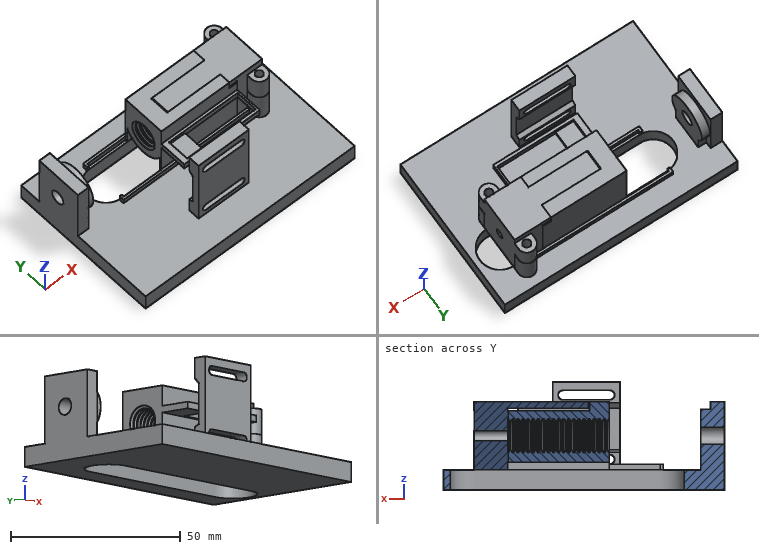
import cadquery as cq

BASE_LENGTH = 83.0
BASE_WIDTH = 55.0
BASE_THICKNESS = 6.0

AXIS_Y = 38.85
AXIS_Z = 10.1
BLOCK_TOP = 2 * AXIS_Z

BLOCK_WIDTH = 15.9
CARRIAGE_START = 34.0
CARRIAGE_END = 64.0
CAP_END = 74.0

SLOT_START = 12.0
SLOT_END = 81.0
SLOT_WIDTH = 14.3

RAIL_START = 18.1
RAIL_HEIGHT = 1.7
RAIL_THICKNESS = 0.9
RAIL_GAP = 16.1

WALL_THICKNESS = 4.2
WALL_WIDTH = 17.1
WALL_START_Y = 29.9
BOSS_DIAMETER = 15.7
BOSS_END = 7.1
FOOT_WIDTH = 11.8
WALL_HOLE_DIAMETER = 5.0

LUG_DIAMETER = 6.0
LUG_OFFSET = 9.95
LUG_SPLIT_Z = 9.9
LUG_TOP_Z = 17.6
LUG_CENTER_X = CAP_END - LUG_DIAMETER / 2
SCREW_PILOT_DIAMETER = 2.17
SCREW_CLEARANCE_DIAMETER = 2.7

PLATE_START_X = 30.8
PLATE_LENGTH = 20.0
PLATE_FRONT_Y = 10.9
PLATE_BACK_Y = 15.1
PLATE_HEIGHT = 26.0
RELIEF_DEPTH = 1.6
RELIEF_BOTTOM_Z = 5.2
RELIEF_FLOOR_BOTTOM_Z = 5.9
RELIEF_FLOOR_TOP_Z = 18.2
RELIEF_TOP_Z = RELIEF_FLOOR_TOP_Z + RELIEF_DEPTH
PLATE_SLOT_LENGTH = 16.6
PLATE_SLOT_WIDTH = 2.7
PLATE_SLOT_HEIGHTS = (3.1, 22.1)

BARREL_DIAMETER = 16.0
THREAD_MAJOR_DIAMETER = 10.0
THREAD_MINOR_DIAMETER = 8.4
THREAD_PITCH = 1.5
THREAD_ROOT_FLAT = THREAD_PITCH / 8
THREAD_CREST_FLAT = THREAD_PITCH / 4
TAB_BOTTOM_Z = 12.0
TAB_THICKNESS = 2.0
TAB_EDGE_Y = 20.8
WINDOW_START_X = 36.1
WINDOW_END_X = 63.3
WINDOW_START_Y = 21.9
WINDOW_END_Y = 29.9
LEDGE_END_X = 42.5
LEDGE_DEPTH = 1.2

TONGUE_WIDTH = 7.0
TONGUE_CENTER_Y = AXIS_Y - 0.4
TONGUE_START = 40.2
TONGUE_END_CLEARANCE = 0.3
LIP_START = 61.0
TONGUE_BOTTOM_Z = 18.15
RECESS_FLOOR_Z = 17.5
CAP_HOLE_DIAMETER = 3.0


def box(x, y, z):
    """Box that spans the three given (low, high) ranges."""
    size = (x[1] - x[0], y[1] - y[0], z[1] - z[0])
    return cq.Workplane("XY").box(*size, centered=False).translate((x[0], y[0], z[0]))


def span(center, width):
    """Range of the given width about a center."""
    return (center - width / 2, center + width / 2)


def axis_cylinder(diameter, start, end):
    """Cylinder on the common axis between two X positions."""
    plane = cq.Workplane("YZ", origin=(start, AXIS_Y, AXIS_Z))
    return plane.circle(diameter / 2).extrude(end - start)


def screw_lugs(bottom, top, hole_diameter):
    """Pair of drilled lugs, flat against the cap sides and round at the outside."""
    height = top - bottom
    cap_space = box((CARRIAGE_END, CAP_END), span(AXIS_Y, BLOCK_WIDTH), (bottom, top))
    lugs = []
    for side in (-1, 1):
        inner_y = AXIS_Y + side * BLOCK_WIDTH / 2
        center_y = AXIS_Y + side * LUG_OFFSET
        y_range = (min(inner_y, center_y), max(inner_y, center_y))
        center = cq.Workplane("XY", origin=(LUG_CENTER_X, center_y, bottom))
        lug = box(span(LUG_CENTER_X, LUG_DIAMETER), y_range, (bottom, top))
        lug = lug.union(center.circle(LUG_DIAMETER / 2).extrude(height))
        hole = center.circle(hole_diameter / 2).extrude(height)
        lugs.append(lug.cut(hole).cut(cap_space))
    return lugs


def make_end_wall():
    """Upright wall with a drilled boss that stands on a foot."""
    wall_y = (WALL_START_Y, WALL_START_Y + WALL_WIDTH)
    wall = box((0, WALL_THICKNESS), wall_y, (0, BLOCK_TOP))
    foot = box((WALL_THICKNESS, BOSS_END), span(AXIS_Y, FOOT_WIDTH), (0, AXIS_Z))
    boss = axis_cylinder(BOSS_DIAMETER, WALL_THICKNESS, BOSS_END)
    hole = axis_cylinder(WALL_HOLE_DIAMETER, 0, BOSS_END)
    return wall.union(foot).union(boss).cut(hole)


def make_rails():
    """Two low rails, open toward the slot, joined by end stops that reach the slot edge."""
    outer_width = RAIL_GAP + 2 * RAIL_THICKNESS
    rail_x = (RAIL_START, CAP_END - LUG_DIAMETER)
    channel_x = (RAIL_START + RAIL_THICKNESS, rail_x[1])
    rails = box(rail_x, span(AXIS_Y, outer_width), (0, RAIL_HEIGHT))
    rails = rails.cut(box(channel_x, span(AXIS_Y, RAIL_GAP), (0, RAIL_HEIGHT)))
    return rails.cut(box(rail_x, span(AXIS_Y, SLOT_WIDTH), (0, RAIL_HEIGHT)))


def make_upright_plate():
    """Plate with a relieved back face and two long slots."""
    relief_y = PLATE_BACK_Y - RELIEF_DEPTH
    profile = [
        (PLATE_FRONT_Y, 0),
        (PLATE_BACK_Y, 0),
        (PLATE_BACK_Y, RELIEF_BOTTOM_Z),
        (relief_y, RELIEF_FLOOR_BOTTOM_Z),
        (relief_y, RELIEF_FLOOR_TOP_Z),
        (PLATE_BACK_Y, RELIEF_TOP_Z),
        (PLATE_BACK_Y, PLATE_HEIGHT),
        (PLATE_FRONT_Y, PLATE_HEIGHT),
    ]
    start = cq.Workplane("YZ", origin=(PLATE_START_X, 0, 0))
    plate = start.polyline(profile).close().extrude(PLATE_LENGTH)
    center_x = PLATE_START_X + PLATE_LENGTH / 2
    slots = (
        cq.Workplane("XZ", origin=(0, PLATE_BACK_Y, 0))
        .pushPoints([(center_x, height) for height in PLATE_SLOT_HEIGHTS])
        .slot2D(PLATE_SLOT_LENGTH, PLATE_SLOT_WIDTH)
        .extrude(PLATE_BACK_Y - PLATE_FRONT_Y)
    )
    return plate.cut(slots)


def make_base():
    """Base plate with its slot, rails, end wall, upright plate and lower lugs."""
    base = box((0, BASE_LENGTH), (0, BASE_WIDTH), (-BASE_THICKNESS, 0))
    slot = (
        cq.Workplane("XY", origin=((SLOT_START + SLOT_END) / 2, AXIS_Y, -BASE_THICKNESS))
        .slot2D(SLOT_END - SLOT_START, SLOT_WIDTH)
        .extrude(BASE_THICKNESS)
    )
    base = base.cut(slot).union(make_rails()).union(make_end_wall()).union(make_upright_plate())
    for lug in screw_lugs(0, LUG_SPLIT_Z, SCREW_PILOT_DIAMETER):
        base = base.union(lug)
    return base


def make_threaded_bore():
    """Cutter for the carriage bore: ring grooves of trapezoid section at the thread pitch."""
    minor_radius = THREAD_MINOR_DIAMETER / 2
    major_radius = THREAD_MAJOR_DIAMETER / 2
    length = CARRIAGE_END - CARRIAGE_START
    groove_count = int(length / THREAD_PITCH)
    outline = [(0, 0), (0, major_radius)]
    for groove in range(groove_count):
        groove_start = groove * THREAD_PITCH
        groove_end = groove_start + THREAD_PITCH
        outline += [
            (groove_start + THREAD_ROOT_FLAT / 2, major_radius),
            (groove_start + (THREAD_PITCH - THREAD_CREST_FLAT) / 2, minor_radius),
            (groove_start + (THREAD_PITCH + THREAD_CREST_FLAT) / 2, minor_radius),
            (groove_end - THREAD_ROOT_FLAT / 2, major_radius),
        ]
    outline += [(length, major_radius), (length, 0)]
    start = cq.Workplane("XY", origin=(CARRIAGE_START, AXIS_Y, AXIS_Z))
    return start.polyline(outline).close().revolve(360, (0, 0, 0), (1, 0, 0))


def make_tab():
    """Side tab with a window that keeps a thin ledge at its left end."""
    tab_top = TAB_BOTTOM_Z + TAB_THICKNESS
    tab_z = (TAB_BOTTOM_Z, tab_top)
    window_y = (WINDOW_START_Y, WINDOW_END_Y)
    tab = box((CARRIAGE_START, CARRIAGE_END), (TAB_EDGE_Y, AXIS_Y - BLOCK_WIDTH / 2), tab_z)
    tab = tab.cut(box((LEDGE_END_X, WINDOW_END_X), window_y, tab_z))
    return tab.cut(box((WINDOW_START_X, LEDGE_END_X), window_y, (tab_top - LEDGE_DEPTH, tab_top)))


def make_carriage():
    """Sliding block with a round underside between two legs that stand beside the base slot."""
    carriage_x = (CARRIAGE_START, CARRIAGE_END)
    block = box(carriage_x, span(AXIS_Y, BLOCK_WIDTH), (0, BLOCK_TOP))
    hollow = box(carriage_x, span(AXIS_Y, SLOT_WIDTH), (0, AXIS_Z))
    hollow = hollow.cut(axis_cylinder(BARREL_DIAMETER, CARRIAGE_START, CARRIAGE_END))
    carriage = block.cut(hollow).union(make_tab()).cut(make_threaded_bore())
    recess_z = (RECESS_FLOOR_Z, BLOCK_TOP)
    recess_x = (TONGUE_START - TONGUE_END_CLEARANCE, CARRIAGE_END)
    carriage = carriage.cut(box(recess_x, span(TONGUE_CENTER_Y, TONGUE_WIDTH), recess_z))
    return carriage.cut(box((LIP_START, CARRIAGE_END), span(AXIS_Y, BLOCK_WIDTH), recess_z))


def make_cap():
    """Block behind the carriage, with a lip and tongue over it and the upper lugs at its sides."""
    block_y = span(AXIS_Y, BLOCK_WIDTH)
    tongue_z = (TONGUE_BOTTOM_Z, BLOCK_TOP)
    cap = box((CARRIAGE_END, CAP_END), block_y, (0, BLOCK_TOP))
    cap = cap.union(box((LIP_START, CARRIAGE_END), block_y, tongue_z))
    cap = cap.union(box((TONGUE_START, LIP_START), span(TONGUE_CENTER_Y, TONGUE_WIDTH), tongue_z))
    for lug in screw_lugs(LUG_SPLIT_Z, LUG_TOP_Z, SCREW_CLEARANCE_DIAMETER):
        cap = cap.union(lug)
    return cap.cut(axis_cylinder(CAP_HOLE_DIAMETER, CARRIAGE_END, CAP_END))


base = make_base()
carriage = make_carriage()
cap = make_cap()

result = cq.Compound.makeCompound([base.val(), carriage.val(), cap.val()])